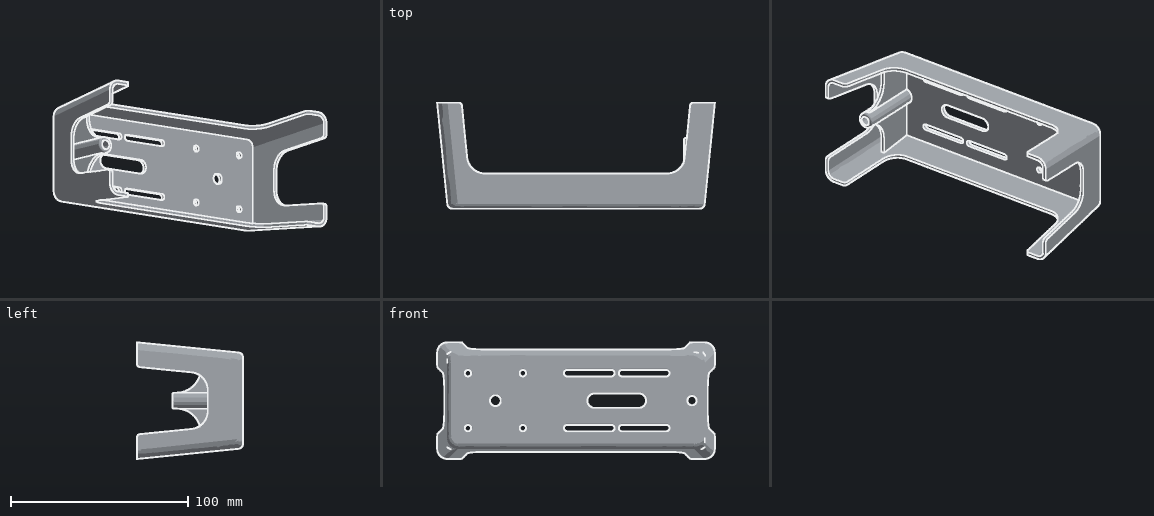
import cadquery as cq
import math

DEPTH = 60.0
RIM_LENGTH = 157.0
RIM_HEIGHT = 66.0
FLARE = 6.0
PANEL_LENGTH = RIM_LENGTH - 2 * FLARE
PANEL_HEIGHT = RIM_HEIGHT - 2 * FLARE
WALL = 2.0
PANEL_THICKNESS = 3.0
CORNER_RADIUS = 6.0
PANEL_EDGE_RADIUS = 3.0

LEG_WIDTH = 14.0
SILL_DEPTH = 20.0
SILL_CORNER_RADIUS = 10.0
LEG_TIP_RADIUS = 2.0

MOUTH_RADIUS = 1.0
PATTERN_PITCH = 31.0
SCREW_DIAMETER = 3.5
SCREW_CENTER_X = -45.5
PILOT_DIAMETER = 6.0
SLOT_TRAVEL = 25.0
SLOT_CENTER_X = 23.0
WIDE_SLOT_WIDTH = 8.0

ROOT_DEPTH = PANEL_THICKNESS / 2
POST_X = 65.5
POST_DIAMETER = 9.14
POST_BORE = 5.1
POST_TOP = 40.0
POST_TIP_RADIUS = 1.0
WEB_THICKNESS = WALL
WEB_DEPTH = 24.0
WEB_ARC_RADIUS = 13.5


def panel_plane(depth=0.0):
    """Plane parallel to the panel at the given Y, with local x = X and local y = Z."""
    return cq.Workplane("XZ", origin=(0, depth, 0))


def make_flared_body(start, wall_inset):
    """Flared solid from Y = start to the rim, its sides the outer wall faces moved in by wall_inset."""
    lean = math.atan(FLARE / DEPTH)
    start_growth = 2 * (start * math.tan(lean) - wall_inset / math.cos(lean))
    rim_growth = -2 * wall_inset / math.cos(lean)
    body = (
        panel_plane(start)
        .rect(PANEL_LENGTH + start_growth, PANEL_HEIGHT + start_growth)
        .workplane(offset=start - DEPTH)
        .rect(RIM_LENGTH + rim_growth, RIM_HEIGHT + rim_growth)
        .loft(ruled=True)
    )
    return body.edges("not(#Y)").fillet(CORNER_RADIUS - wall_inset)


def make_envelope():
    """Outer shape of the tray, before it is hollowed."""
    return make_flared_body(0, 0).faces("<Y").edges().fillet(PANEL_EDGE_RADIUS)


def make_opening(plane_name, through_axis, rim_size):
    """Flared prism that clears the middle of two opposite walls, leaving a leg on each side."""
    tip_half = rim_size / 2 - LEG_WIDTH
    sill_half = tip_half - FLARE * (DEPTH - SILL_DEPTH) / DEPTH
    lip_half = tip_half + LEG_WIDTH / 2
    lip_depth = DEPTH + LEG_WIDTH / 2
    outline = [
        (-lip_half, lip_depth),
        (-lip_half, DEPTH),
        (-tip_half, DEPTH),
        (-sill_half, SILL_DEPTH),
        (sill_half, SILL_DEPTH),
        (tip_half, DEPTH),
        (lip_half, DEPTH),
        (lip_half, lip_depth),
    ]
    opening = cq.Workplane(plane_name).polyline(outline).close().extrude(RIM_LENGTH, both=True)
    across = f"|{through_axis}"
    opening = opening.edges(across).edges("<Y").fillet(SILL_CORNER_RADIUS)
    return opening.edges(across).edges(">>Y[-2]").fillet(LEG_TIP_RADIUS)


def make_tray(outer_body):
    tray = outer_body.cut(make_flared_body(PANEL_THICKNESS, WALL))
    tray = tray.cut(make_opening("XY", "Z", RIM_LENGTH))
    return tray.cut(make_opening("ZY", "X", RIM_HEIGHT))


def make_post():
    post = (
        panel_plane(ROOT_DEPTH)
        .center(POST_X, 0)
        .circle(POST_DIAMETER / 2)
        .extrude(ROOT_DEPTH - POST_TOP)
    )
    return post.faces(">Y").edges().fillet(POST_TIP_RADIUS)


def make_web(outer_body):
    """Plate across the tray through the post axis, sweeping up to the post on both sides."""
    post_side = POST_DIAMETER / 2
    arc_end = post_side + WEB_ARC_RADIUS
    diagonal_step = WEB_ARC_RADIUS / math.sqrt(2)
    arc_middle = (arc_end - diagonal_step, WEB_DEPTH + WEB_ARC_RADIUS - diagonal_step)
    half_web = (
        cq.Workplane("ZY", origin=(POST_X, 0, 0))
        .moveTo(0, ROOT_DEPTH)
        .lineTo(RIM_HEIGHT / 2, ROOT_DEPTH)
        .lineTo(RIM_HEIGHT / 2, WEB_DEPTH)
        .lineTo(arc_end, WEB_DEPTH)
        .threePointArc(arc_middle, (post_side, WEB_DEPTH + WEB_ARC_RADIUS))
        .lineTo(0, WEB_DEPTH + WEB_ARC_RADIUS)
        .close()
        .extrude(WEB_THICKNESS / 2, both=True)
    )
    return half_web.union(half_web.mirror("XY")).intersect(outer_body)


def cut_holes(part):
    """Cut every panel hole and slot, then round their mouths on the panel face."""
    half_pitch = PATTERN_PITCH / 2
    slot_xs = (SLOT_CENTER_X - half_pitch, SLOT_CENTER_X + half_pitch)
    screw_xs = (SCREW_CENTER_X - half_pitch, SCREW_CENTER_X + half_pitch)
    screws = [(x, z) for x in screw_xs for z in (-half_pitch, half_pitch)]
    slots = [(x, z) for x in slot_xs for z in (-half_pitch, half_pitch)]

    cutters = [
        panel_plane().pushPoints(screws).circle(SCREW_DIAMETER / 2),
        panel_plane().center(SCREW_CENTER_X, 0).circle(PILOT_DIAMETER / 2),
        panel_plane().center(POST_X, 0).circle(POST_BORE / 2),
        panel_plane().pushPoints(slots).slot2D(SLOT_TRAVEL + SCREW_DIAMETER, SCREW_DIAMETER),
        panel_plane().center(SLOT_CENTER_X, 0).slot2D(SLOT_TRAVEL + WIDE_SLOT_WIDTH, WIDE_SLOT_WIDTH),
    ]
    for cutter in cutters:
        part = part.cut(cutter.extrude(-DEPTH))

    panel_face = part.faces("<Y").val()
    mouth_edges = [edge for wire in panel_face.innerWires() for edge in wire.Edges()]
    return part.newObject(mouth_edges).fillet(MOUTH_RADIUS)


envelope = make_envelope()
bracket = make_tray(envelope).union(make_web(envelope)).union(make_post())
result = cut_holes(bracket)